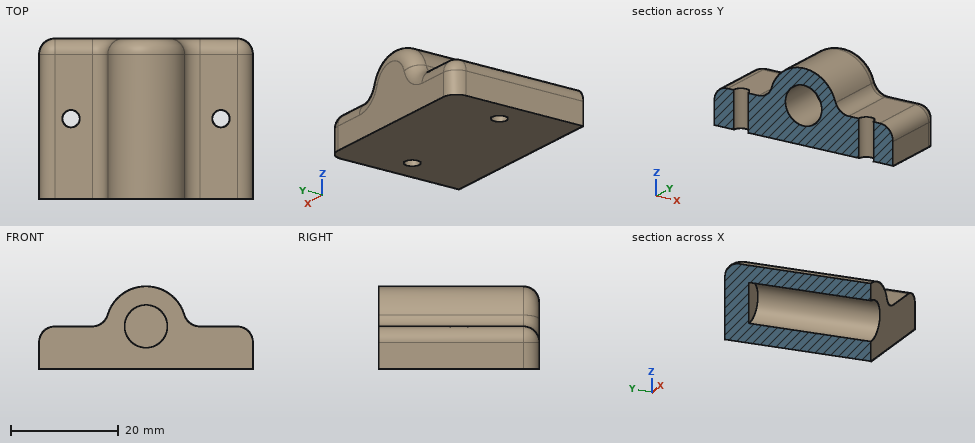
import cadquery as cq
import math

width = 40
depth = 30
base_height = 8
hub_diameter = 15.0
bore_diameter = 8
bore_depth = 25.0
round_radius = 3.0
screw_hole_diameter = 3.2
screw_hole_spacing = 28

hub_radius = hub_diameter / 2
front_y = -depth / 2
axis_z = base_height
total_height = axis_z + hub_radius

blend_center_x = math.sqrt((hub_radius + round_radius) ** 2 - round_radius**2)
blend_center_z = base_height + round_radius
hub_share = hub_radius / (hub_radius + round_radius)
hub_tangent_x = blend_center_x * hub_share
hub_tangent_z = axis_z + (blend_center_z - axis_z) * hub_share


def make_body():
    """Base and hub in one profile, with every outer edge rounded except at the front and bottom."""
    body = (
        cq.Workplane("XZ", origin=(0, front_y, 0))
        .moveTo(-width / 2, 0)
        .lineTo(-width / 2, base_height)
        .lineTo(-blend_center_x, base_height)
        .radiusArc((-hub_tangent_x, hub_tangent_z), -round_radius)
        .threePointArc((0, total_height), (hub_tangent_x, hub_tangent_z))
        .radiusArc((blend_center_x, base_height), -round_radius)
        .lineTo(width / 2, base_height)
        .lineTo(width / 2, 0)
        .close()
        .extrude(-depth)
    )
    front_and_bottom = cq.selectors.SumSelector(
        cq.selectors.DirectionMinMaxSelector(cq.Vector(0, 1, 0), False),
        cq.selectors.DirectionMinMaxSelector(cq.Vector(0, 0, 1), False),
    )
    return body.edges(-front_and_bottom).fillet(round_radius)


def make_bore():
    """Blind bore entering from the front face."""
    return (
        cq.Workplane("XZ", origin=(0, front_y, axis_z))
        .circle(bore_diameter / 2)
        .extrude(-bore_depth)
    )


def make_screw_holes():
    """Through holes, one in each flange beside the hub."""
    return (
        cq.Workplane("XY")
        .rarray(screw_hole_spacing, 0.4, 2, 1)
        .circle(screw_hole_diameter / 2)
        .extrude(base_height)
    )


result = make_body().cut(make_bore()).cut(make_screw_holes())